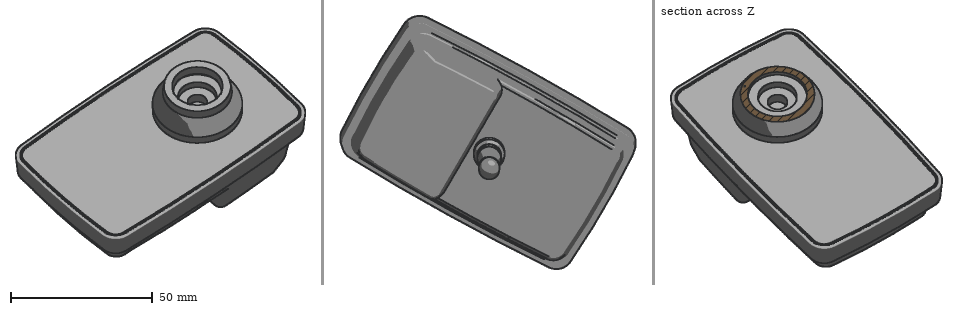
import cadquery as cq
import math

flange_half_x = 29.4
flange_half_y = 47.6
flange_height = 8.6
flange_draft = 4.5
flange_corner_radius = 6.7
flange_edge_radius = 0.2
side_bulge = 1.2

groove_inset = 1.5
groove_width = 0.6
groove_depth = 0.5

tier_inset = 3.3
tier_half_x = flange_half_x - tier_inset
tier_half_y = flange_half_y - tier_inset
tier_bottom = -17.0
tier_draft = 10.0
tier_corner_radius = 6.2
tier_root_radius = 1.0
tray_bottom_radius = 1.4

box_bottom = -28.4
box_front_y = 4.8
box_slope_low_y = 34.3
box_slope_high_y = 42.3
box_slope_high_z = -20.6

eyepiece_y = 17.3
eyepiece_base_radius = 31.8 / 2
eyepiece_base_height = 3.1
eyepiece_neck_radius = 12.3
eyepiece_neck_z = 9.4
eyepiece_rim_radius = 11.8
eyepiece_height = 12.5
shoulder_bulge = 0.3
bore_rim_radius = 8.9
bore_lip_radius = 8.5
lip_depth = 3.0
recess_radius = 20.7 / 2
recess_depth = 5.8
lens_radius = 13.8 / 2
lens_depth = 8.6
aperture_radius = 6.9 / 2
aperture_depth = eyepiece_height

lever_y = -0.5
lever_base_radius = 10.9 / 2
lever_base_end_z = -19.8
lever_cone_radius = 4.1
collar_radius = 8.6 / 2
collar_top_z = -21.6
collar_bottom_z = -25.3
shank_top_radius = 4.2
neck_radius = 2.9
neck_z = -31.9
neck_end_radius = 3.1
knob_radius = 7.3 / 2
knob_top_z = -37.9
knob_chamfer = 0.3
lever_tip_z = -45.0


def bulged_outline(half_x, half_y, corner_radius):
    """Rounded rectangle whose four sides bow outwards to the given half sizes."""
    corner_x = half_x - side_bulge
    corner_y = half_y - side_bulge
    return (
        cq.Sketch()
        .arc((-corner_x, -corner_y), (0, -half_y), (corner_x, -corner_y))
        .arc((corner_x, -corner_y), (half_x, 0), (corner_x, corner_y))
        .arc((corner_x, corner_y), (0, half_y), (-corner_x, corner_y))
        .arc((-corner_x, corner_y), (-half_x, 0), (-corner_x, -corner_y))
        .assemble()
        .vertices()
        .fillet(corner_radius)
        .reset()
    )


def extrude_down(outline, top_z, height, draft):
    return cq.Workplane("XY", origin=(0, 0, top_z)).placeSketch(outline).extrude(-height, taper=draft)


def flange_outline(inset):
    return bulged_outline(flange_half_x - inset, flange_half_y - inset, flange_corner_radius - inset)


def make_flange():
    flange = extrude_down(flange_outline(0), 0, flange_height, flange_draft)
    flange = flange.faces("|Z").edges().fillet(flange_edge_radius)
    groove = extrude_down(flange_outline(groove_inset), 0, groove_depth, 0)
    island = extrude_down(flange_outline(groove_inset + groove_width), 0, groove_depth, 0)
    return flange.cut(groove.cut(island))


def make_tier():
    outline = bulged_outline(tier_half_x, tier_half_y, tier_corner_radius)
    tier = extrude_down(outline, -flange_height, -flange_height - tier_bottom, tier_draft)
    return tier.faces("<Z").edges().fillet(tray_bottom_radius)


def round_tier_root(tray):
    """Fillet the inside corner where the tier meets the underside of the flange."""
    underside = tray.faces("|Z").faces(cq.NearestToPointSelector((0, 0, -flange_height))).val()
    return tray.newObject(underside.innerWires()[0].Edges()).fillet(tier_root_radius)


def tier_side_x(y):
    """X of the bowed +X side of the tier's top outline at the given Y."""
    arc_radius = ((tier_half_y - side_bulge) ** 2 + side_bulge**2) / (2 * side_bulge)
    return tier_half_x - arc_radius + math.sqrt(arc_radius**2 - y**2)


def box_outline():
    """The part of the tier's outline behind the box's straight front wall, with its corners rounded."""
    corner_x = tier_half_x - side_bulge
    corner_y = tier_half_y - side_bulge
    front_x = tier_side_x(box_front_y)
    middle_y = (box_front_y + corner_y) / 2
    middle_x = tier_side_x(middle_y)
    return (
        cq.Sketch()
        .segment((-front_x, box_front_y), (front_x, box_front_y))
        .arc((front_x, box_front_y), (middle_x, middle_y), (corner_x, corner_y))
        .arc((corner_x, corner_y), (0, tier_half_y), (-corner_x, corner_y))
        .arc((-corner_x, corner_y), (-middle_x, middle_y), (-front_x, box_front_y))
        .assemble()
        .vertices()
        .fillet(tier_corner_radius)
        .reset()
    )


def make_box():
    box = extrude_down(box_outline(), -flange_height, -flange_height - box_bottom, tier_draft)
    slope = (box_slope_high_z - box_bottom) / (box_slope_high_y - box_slope_low_y)
    past_y = flange_half_y
    past_z = box_bottom + slope * (past_y - box_slope_low_y)
    wedge = (
        cq.Workplane("YZ")
        .polyline([(box_slope_low_y, box_bottom), (past_y, past_z), (past_y, box_bottom)])
        .close()
        .extrude(flange_half_x, both=True)
    )
    box = box.cut(wedge)
    slope_face = box.faces("%PLANE").faces(">Y")
    return box.faces("<Z").add(slope_face).edges().fillet(tray_bottom_radius)


def make_eyepiece():
    middle_radius = (eyepiece_base_radius + eyepiece_neck_radius) / 2 + shoulder_bulge
    middle_z = (eyepiece_base_height + eyepiece_neck_z) / 2
    body = (
        cq.Workplane("XZ")
        .lineTo(eyepiece_base_radius, 0)
        .lineTo(eyepiece_base_radius, eyepiece_base_height)
        .threePointArc((middle_radius, middle_z), (eyepiece_neck_radius, eyepiece_neck_z))
        .lineTo(eyepiece_rim_radius, eyepiece_height)
        .lineTo(0, eyepiece_height)
        .close()
        .revolve(360, (0, 0, 0), (0, 1, 0))
    )
    lip_z = eyepiece_height - lip_depth
    recess_z = eyepiece_height - recess_depth
    lens_z = eyepiece_height - lens_depth
    aperture_z = eyepiece_height - aperture_depth
    bore = (
        cq.Workplane("XZ")
        .moveTo(0, eyepiece_height)
        .lineTo(bore_rim_radius, eyepiece_height)
        .lineTo(bore_lip_radius, lip_z)
        .lineTo(recess_radius, lip_z)
        .lineTo(recess_radius, recess_z)
        .lineTo(lens_radius, recess_z)
        .lineTo(lens_radius, lens_z)
        .lineTo(aperture_radius, lens_z)
        .lineTo(aperture_radius, aperture_z)
        .lineTo(0, aperture_z)
        .close()
        .revolve(360, (0, 0, 0), (0, 1, 0))
    )
    return body.cut(bore).translate((0, eyepiece_y, 0))


def make_lever():
    dome_z = lever_tip_z + knob_radius
    dome_mid = knob_radius * math.sqrt(0.5)
    return (
        cq.Workplane("XZ")
        .moveTo(0, -flange_height)
        .lineTo(lever_base_radius, -flange_height)
        .lineTo(lever_base_radius, lever_base_end_z)
        .lineTo(lever_cone_radius, collar_top_z)
        .lineTo(collar_radius, collar_top_z)
        .lineTo(collar_radius, collar_bottom_z)
        .lineTo(shank_top_radius, collar_bottom_z)
        .lineTo(neck_radius, neck_z)
        .lineTo(neck_end_radius, knob_top_z)
        .lineTo(knob_radius - knob_chamfer, knob_top_z)
        .lineTo(knob_radius, knob_top_z - knob_chamfer)
        .lineTo(knob_radius, dome_z)
        .threePointArc((dome_mid, dome_z - dome_mid), (0, lever_tip_z))
        .close()
        .revolve(360, (0, 0, 0), (0, 1, 0))
        .translate((0, lever_y, 0))
    )


tray = make_box().union(round_tier_root(make_flange().union(make_tier())))
result = tray.union(make_eyepiece()).union(make_lever())